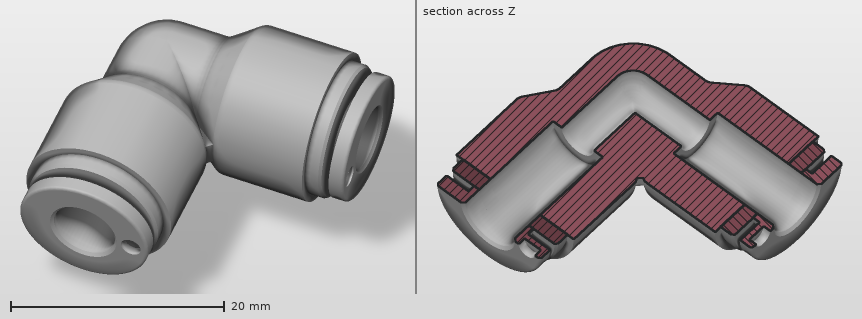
import cadquery as cq
import math


longest_side = 27.9
housing_diameter = 14.7
housing_radius = housing_diameter / 2
arm_length = longest_side - housing_radius

neck_end = 4.8
cone_end = 7.85
tube_stop = cone_end
housing_end = 16.75
collar_end = 18.33
flange_start = 19.08

neck_radius = 5.15
shoulder_fillet = 1.0
passage_diameter = 4.0
tube_diameter = 6.2
web_thickness = 2.48
web_half_width = 0.45

collar_diameter = 13.15
collar_chamfer_length = 0.28
collar_chamfer_depth = 0.2

flange_width = 12.97
flange_height = 11.55
flange_fillet = 0.28
sleeve_diameter = 7.5
mouth_diameter = 6.75
mouth_chamfer_length = 0.28
mark_diameter = 2.0
mark_offset = 4.83
mark_depth = 0.85


def cylinder_along_x(diameter, start, end):
    """Cylinder on the arm axis between two positions."""
    return cq.Workplane("YZ").workplane(offset=start).circle(diameter / 2).extrude(end - start)


def revolve_about_x(points):
    """Solid turned about the X axis from a closed (x, radius) outline."""
    return cq.Workplane("XY").polyline(points).close().revolve(360, (0, 0, 0), (1, 0, 0))


def mirrored(body):
    """Copy of an X-arm shape for the -Y arm."""
    return cq.Workplane(body.val().mirror(cq.Vector(1, 1, 0)))


def housing_arm():
    """Neck, cone and barrel of one arm, without its bore."""
    arm = revolve_about_x([
        (0, 0),
        (0, neck_radius),
        (neck_end, neck_radius),
        (cone_end, housing_radius),
        (housing_end, housing_radius),
        (housing_end, 0),
    ])
    circles = arm.edges("%CIRCLE").sort(lambda edge: edge.Center().x)
    return circles[1:3].fillet(shoulder_fillet)


def corner_web():
    """Flat web that fills the inner corner between the two cones."""
    near = housing_radius - web_half_width / math.sqrt(2)
    far = housing_radius + web_half_width / math.sqrt(2)
    return (
        cq.Workplane("XY")
        .polyline([(0, 0), (far, -near), (near, -far)])
        .close()
        .extrude(web_thickness / 2, both=True)
    )


def arm_bore():
    """Flow passage and tube socket of one arm."""
    passage = cylinder_along_x(passage_diameter, 0, tube_stop)
    socket = cylinder_along_x(tube_diameter, tube_stop, housing_end)
    return passage.union(socket)


def make_housing():
    """Elbow housing with a ball-shaped outer corner and a ball-shaped passage corner."""
    arm = housing_arm()
    bore = arm_bore()
    outside = arm.union(mirrored(arm)).union(cq.Workplane("XY").sphere(neck_radius)).union(corner_web())
    inside = bore.union(mirrored(bore)).union(cq.Workplane("XY").sphere(passage_diameter / 2))
    return outside.cut(inside)


def make_collar():
    """Ring on the end of the barrel, chamfered on its outer rim."""
    collar_radius = collar_diameter / 2
    tube_radius = tube_diameter / 2
    return revolve_about_x([
        (housing_end, tube_radius),
        (housing_end, collar_radius),
        (collar_end - collar_chamfer_length, collar_radius),
        (collar_end, collar_radius - collar_chamfer_depth),
        (collar_end, tube_radius),
    ])


def make_button():
    """Oval release button on a short sleeve, with a chamfered bore and a round mark recess."""
    flange = (
        cq.Workplane("YZ")
        .workplane(offset=flange_start)
        .ellipse(flange_width / 2, flange_height / 2)
        .extrude(arm_length - flange_start)
        .faces(">X")
        .edges()
        .fillet(flange_fillet)
    )
    sleeve = cylinder_along_x(sleeve_diameter, collar_end, flange_start)
    bore = revolve_about_x([
        (collar_end, 0),
        (collar_end, tube_diameter / 2),
        (arm_length - mouth_chamfer_length, tube_diameter / 2),
        (arm_length, mouth_diameter / 2),
        (arm_length, 0),
    ])
    mark = cylinder_along_x(mark_diameter, arm_length - mark_depth, arm_length)
    return flange.union(sleeve).cut(bore).cut(mark.translate((0, -mark_offset, 0)))


housing = make_housing()

collars = []
buttons = []
for along_x, bodies in ((make_collar(), collars), (make_button(), buttons)):
    bodies.append(along_x.val())
    bodies.append(mirrored(along_x).val())

result = cq.Compound.makeCompound([housing.val(), *collars, *buttons])